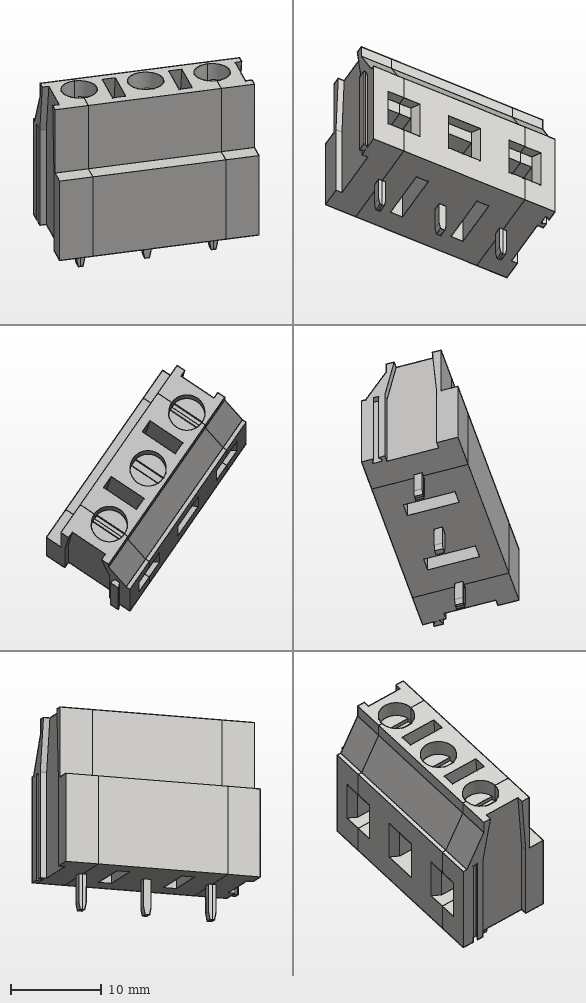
import cadquery as cq


POLE_COUNT = 3
PITCH = 7.62
LENGTH = POLE_COUNT * PITCH
OUTER_POLE = (POLE_COUNT - 1) / 2 * PITCH
POLE_PLACES = [index * PITCH - OUTER_POLE for index in range(POLE_COUNT)]

DEPTH = 11.2
HEIGHT = 18.0
SHOULDER_HEIGHT = 12.0
SHOULDER_WIDTH = 0.5
SLOPE_TOP_HEIGHT = 16.42
TOP_FRONT = 2.86
TOP_BACK = 9.25
STEP_HEIGHT = 10.02

RECESS_DEPTH = 0.75
RECESS_FRONT = 2.72
RECESS_BACK = 8.73
RECESS_TOP_FRONT = 3.8
RECESS_TOP_BACK = 8.2

SCREW_X = 5.35
SCREW_DIAMETER = 4.0
WELL_DEPTH = 2.02
SCREW_SLOT_WIDTH = 0.85
SCREW_SLOT_DEPTH = 0.5

ENTRY_BOTTOM = 3.5
ENTRY_TOP = 8.8
FUNNEL_WIDTH = 4.04
FUNNEL_DEPTH = 1.0
TUNNEL_WIDTH = 2.85
TUNNEL_TOP = 7.1
TUNNEL_END = 2.85
CLAMP_WIDTH = 2.58
CLAMP_SILL = 0.1
CLAMP_BOTTOM = ENTRY_BOTTOM + CLAMP_SILL
CLAMP_END = SCREW_X + SCREW_DIAMETER / 2

PIN_X = 5.51
PIN_DEPTH = 0.96
PIN_WIDTH = 0.9
PIN_LENGTH = 4.0
PIN_TIP_LENGTH = 0.85
PIN_TIP_WIDTH = 0.55

DOVETAIL_X = 1.7
DOVETAIL_NECK = 0.55
DOVETAIL_WIDTH = 1.05
DOVETAIL_HEIGHT = 0.59
DOVETAIL_RIM = 0.19


def box_between(x_range, y_range, z_range):
    """A box given by its lower and upper limits along each axis."""
    size = [high - low for low, high in (x_range, y_range, z_range)]
    corner = (x_range[0], y_range[0], z_range[0])
    return cq.Workplane().box(*size, centered=False).translate(corner)


def extruded_along_y(points, y_start, y_end):
    """An outline of (x, z) points extruded from y_start to y_end."""
    outline = cq.Workplane("XZ", origin=(0, y_start, 0)).polyline(points).close()
    return outline.extrude(y_start - y_end)


def housing_block():
    outline = [
        (0, 0),
        (DEPTH, 0),
        (DEPTH, STEP_HEIGHT),
        (TOP_BACK, STEP_HEIGHT),
        (TOP_BACK, HEIGHT),
        (TOP_FRONT, HEIGHT),
        (TOP_FRONT, SLOPE_TOP_HEIGHT),
        (SHOULDER_WIDTH, SHOULDER_HEIGHT),
        (0, SHOULDER_HEIGHT),
    ]
    return extruded_along_y(outline, -LENGTH / 2, LENGTH / 2)


def side_recesses(pole_y):
    """The two recesses on either side of a pole, which lean inwards towards the top."""
    outline = [
        (RECESS_FRONT, 0),
        (RECESS_BACK, 0),
        (RECESS_BACK, STEP_HEIGHT),
        (RECESS_TOP_BACK, HEIGHT),
        (RECESS_TOP_FRONT, HEIGHT),
        (RECESS_FRONT, SHOULDER_HEIGHT),
    ]
    module_start = pole_y - PITCH / 2
    module_end = pole_y + PITCH / 2
    near = extruded_along_y(outline, module_start, module_start + RECESS_DEPTH)
    far = extruded_along_y(outline, module_end - RECESS_DEPTH, module_end)
    return near.union(far)


def screw_well(pole_y):
    """The round well above a screw head, with the driver slot in the head."""
    well_floor = HEIGHT - WELL_DEPTH
    radius = SCREW_DIAMETER / 2
    well = cq.Workplane(origin=(SCREW_X, pole_y, well_floor)).circle(radius).extrude(WELL_DEPTH)
    head = cq.Workplane(origin=(SCREW_X, pole_y, well_floor)).circle(radius).extrude(-SCREW_SLOT_DEPTH)
    slot = box_between(
        (SCREW_X - radius, SCREW_X + radius),
        (pole_y - SCREW_SLOT_WIDTH / 2, pole_y + SCREW_SLOT_WIDTH / 2),
        (well_floor - SCREW_SLOT_DEPTH, well_floor),
    )
    return well.union(head.intersect(slot))


def wire_entry(pole_y):
    """The opening for a wire, narrowing in steps from the front face to the clamp."""
    funnel = (
        cq.Workplane(origin=(0, pole_y, ENTRY_BOTTOM))
        .polyline([
            (0, -FUNNEL_WIDTH / 2),
            (FUNNEL_DEPTH, -TUNNEL_WIDTH / 2),
            (FUNNEL_DEPTH, TUNNEL_WIDTH / 2),
            (0, FUNNEL_WIDTH / 2),
        ])
        .close()
        .extrude(ENTRY_TOP - ENTRY_BOTTOM)
    )
    tunnel = box_between(
        (FUNNEL_DEPTH, TUNNEL_END),
        (pole_y - TUNNEL_WIDTH / 2, pole_y + TUNNEL_WIDTH / 2),
        (ENTRY_BOTTOM, TUNNEL_TOP),
    )
    clamp = box_between(
        (TUNNEL_END, CLAMP_END),
        (pole_y - CLAMP_WIDTH / 2, pole_y + CLAMP_WIDTH / 2),
        (CLAMP_BOTTOM, TUNNEL_TOP),
    )
    return funnel.union(tunnel).union(clamp)


def solder_pin(pole_y):
    """A flat pin below a pole, narrowing towards its end."""
    taper_start = PIN_TIP_LENGTH - PIN_LENGTH
    outline = [
        (pole_y - PIN_WIDTH / 2, 0),
        (pole_y - PIN_WIDTH / 2, taper_start),
        (pole_y - PIN_TIP_WIDTH / 2, -PIN_LENGTH),
        (pole_y + PIN_TIP_WIDTH / 2, -PIN_LENGTH),
        (pole_y + PIN_WIDTH / 2, taper_start),
        (pole_y + PIN_WIDTH / 2, 0),
    ]
    plane = cq.Workplane("YZ", origin=(PIN_X - PIN_DEPTH / 2, 0, 0))
    return plane.polyline(outline).close().extrude(PIN_DEPTH)


def dovetail(end_y):
    """A dovetail bar standing on the plane y = end_y and pointing towards +Y."""
    rim_start = DOVETAIL_HEIGHT - DOVETAIL_RIM
    return (
        cq.Workplane(origin=(DOVETAIL_X, end_y, 0))
        .polyline([
            (-DOVETAIL_NECK / 2, 0),
            (-DOVETAIL_WIDTH / 2, rim_start),
            (-DOVETAIL_WIDTH / 2, DOVETAIL_HEIGHT),
            (DOVETAIL_WIDTH / 2, DOVETAIL_HEIGHT),
            (DOVETAIL_WIDTH / 2, rim_start),
            (DOVETAIL_NECK / 2, 0),
        ])
        .close()
        .extrude(SHOULDER_HEIGHT)
    )


def terminal_row():
    """The whole row of poles, before it is parted into bodies and given its end joints."""
    row = housing_block()
    for pole_y in POLE_PLACES:
        row = row.cut(side_recesses(pole_y)).cut(screw_well(pole_y)).cut(wire_entry(pole_y))
        row = row.union(solder_pin(pole_y))
    return row


def row_part(row, y_start, y_end):
    """The stretch of the row between two planes across Y.

    The planes halve the screw wells, whose half-round faces have to stay as cut, so nothing is merged.
    """
    stretch = box_between((0, DEPTH), (y_start, y_end), (-PIN_LENGTH, HEIGHT))
    return row.intersect(stretch, clean=False)


def middle_section(row):
    return row_part(row, -OUTER_POLE, OUTER_POLE)


def groove_end(row):
    return row_part(row, -LENGTH / 2, -OUTER_POLE).cut(dovetail(-LENGTH / 2), clean=False)


def tongue_end(row):
    return row_part(row, OUTER_POLE, LENGTH / 2).union(dovetail(LENGTH / 2), clean=False)


terminals = terminal_row()
first_end = groove_end(terminals)
middle = middle_section(terminals)
last_end = tongue_end(terminals)

result = cq.Compound.makeCompound([first_end.val(), middle.val(), last_end.val()])